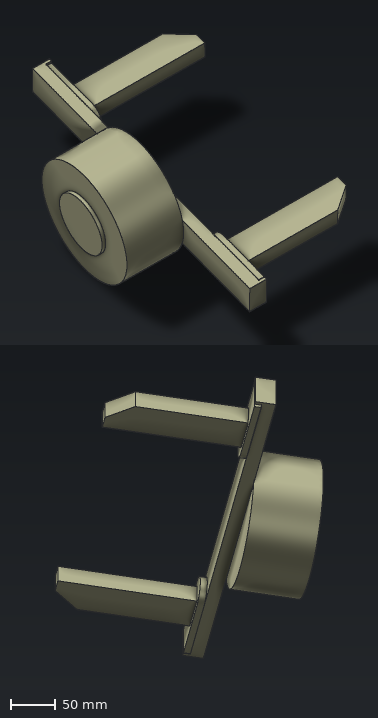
import cadquery as cq


drum_radius = 80
drum_length = 80
cap_radius = 40
cap_length = 5

beam_length = 408
beam_height = 40
beam_thickness = 16
beam_tilt = 0.455
lip_length = 4

foot_length = 95
foot_height = beam_height
foot_thickness = 8
foot_gap = 0.5
prong_width = 40
prong_height = 24
prong_length = 160
bevel_width = 24
bevel_length = 30

beam_end_x = beam_length / 2
lip_x = beam_end_x - lip_length
foot_outer_x = lip_x - foot_gap
foot_inner_x = foot_outer_x - foot_length
foot_arc_x = foot_inner_x + foot_height / 2
foot_rear_y = beam_thickness + foot_thickness
prong_outer_x = foot_arc_x + prong_width
prong_tip_y = foot_rear_y + prong_length


def make_block(half_length, y_front, y_rear):
    """Block as high as the beam, centred on X = 0 and Z = 0."""
    profile = cq.Workplane("XZ", origin=(0, y_front, 0)).rect(2 * half_length, beam_height)
    return profile.extrude(y_front - y_rear)


def make_disc(radius, y_rear, length):
    """Cylinder on the drum axis, running from y_rear toward -Y."""
    return cq.Workplane("XZ", origin=(0, y_rear, 0)).circle(radius).extrude(length)


def tilt(shape):
    """Turn a shape about the drum axis so that its +X side drops."""
    return shape.rotate((0, 0, 0), (0, 1, 0), beam_tilt)


def make_carrier():
    """Drum, end cap and tilted beam; the beam is thinned between its lips to seat the feet."""
    beam = make_block(beam_end_x, 0, foot_rear_y)
    seat = make_block(lip_x, beam_thickness, foot_rear_y)
    drum = make_disc(drum_radius, 0, drum_length)
    cap = make_disc(cap_radius, -drum_length, cap_length)
    return tilt(beam.cut(seat)).union(drum).union(cap).solids()


def make_foot():
    """Foot plate on the +X side, square at the lip and round toward the drum axis."""
    half_height = foot_height / 2
    return (
        cq.Workplane("XZ", origin=(0, beam_thickness, 0))
        .moveTo(foot_outer_x, half_height)
        .lineTo(foot_arc_x, half_height)
        .threePointArc((foot_inner_x, 0), (foot_arc_x, -half_height))
        .lineTo(foot_outer_x, -half_height)
        .close()
        .extrude(-foot_thickness)
    )


def make_prong():
    """Prong on the +X side, bevelled at the outer corner of its tip."""
    return (
        cq.Workplane("XY", origin=(0, 0, -prong_height / 2))
        .moveTo(foot_arc_x, foot_rear_y)
        .lineTo(foot_arc_x, prong_tip_y)
        .lineTo(prong_outer_x - bevel_width, prong_tip_y)
        .lineTo(prong_outer_x, prong_tip_y - bevel_length)
        .lineTo(prong_outer_x, foot_rear_y)
        .close()
        .extrude(prong_height)
    )


def make_fork(mirrored):
    """Fork on the +X side in line with the beam, or its mirror image on the -X side."""
    fork = tilt(make_foot().union(make_prong())).solids()
    return fork.mirror("YZ").solids() if mirrored else fork


carrier = make_carrier()
forks = [make_fork(mirrored) for mirrored in (False, True)]

result = cq.Compound.makeCompound([carrier.val(), *[fork.val() for fork in forks]])